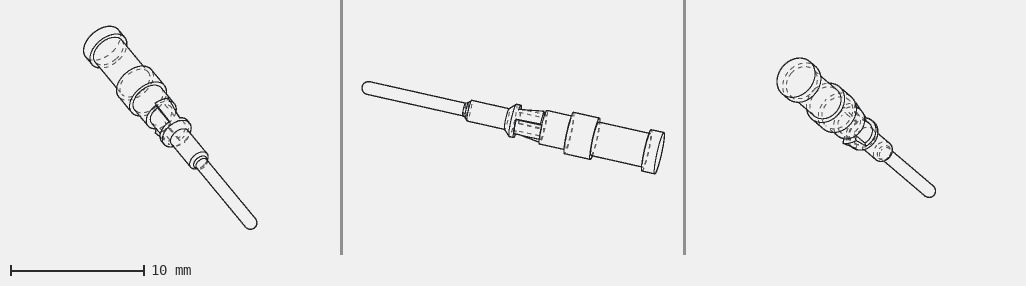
import cadquery as cq
import math

total_length = 23.0
head_end = 1.0
collar_start = 5.0
collar_end = 7.0
barrel_end = 9.0
flange_start = 11.0
flange_end = 11.35
cone_end = 11.8
shank_end = 14.7
shank_chamfer_end = 14.9
neck_end = 15.1

head_diameter = 3.2
barrel_diameter = 2.6
core_diameter = 1.9
flange_diameter = 2.5
shank_diameter = 1.6
neck_diameter = 1.15
pin_diameter = 1.0

barb_tip_diameter = 3.3
barb_angle = 40.0
barb_tip_setback = 0.07


def revolve_profile(points, angle=360.0):
    """Revolve an (x, radius) outline about the X axis."""
    outline = cq.Workplane("XY").polyline(points).close()
    return outline.revolve(angle, (0, 0, 0), (1, 0, 0))


def cylinder(start, end, diameter):
    return cq.Workplane("YZ", origin=(start, 0, 0)).circle(diameter / 2).extrude(end - start)


def frustum(start, end, start_diameter, end_diameter):
    return revolve_profile([
        (start, 0),
        (start, start_diameter / 2),
        (end, end_diameter / 2),
        (end, 0),
    ])


def rounded_pin():
    """Contact pin with a hemispherical tip."""
    radius = pin_diameter / 2
    tip_start = total_length - radius
    diagonal = radius * math.sqrt(0.5)
    outline = (
        cq.Workplane("XY")
        .moveTo(neck_end, 0)
        .lineTo(neck_end, radius)
        .lineTo(tip_start, radius)
        .threePointArc((tip_start + diagonal, diagonal), (total_length, 0))
        .close()
    )
    return outline.revolve(360, (0, 0, 0), (1, 0, 0))


def barb(direction):
    """Cone sector centred on the given angle about X, measured from +Y."""
    sector = revolve_profile(
        [
            (barrel_end, 0),
            (barrel_end, barrel_diameter / 2),
            (barrel_end + barb_tip_setback, barb_tip_diameter / 2),
            (flange_start, flange_diameter / 2),
            (flange_start, 0),
        ],
        barb_angle,
    )
    return sector.rotate((0, 0, 0), (1, 0, 0), direction - barb_angle / 2)


result = cylinder(0, head_end, head_diameter)
result = result.union(cylinder(head_end, barrel_end, barrel_diameter))
result = result.union(cylinder(collar_start, collar_end, head_diameter))
result = result.union(cylinder(barrel_end, flange_start, core_diameter))
result = result.union(cylinder(flange_start, flange_end, flange_diameter))
result = result.union(frustum(flange_end, cone_end, flange_diameter, shank_diameter))
result = result.union(cylinder(cone_end, shank_end, shank_diameter))
result = result.union(frustum(shank_end, shank_chamfer_end, shank_diameter, neck_diameter))
result = result.union(frustum(shank_chamfer_end, neck_end, neck_diameter, pin_diameter))
result = result.union(rounded_pin())

for barb_direction in (90, 270):
    result = result.union(barb(barb_direction))